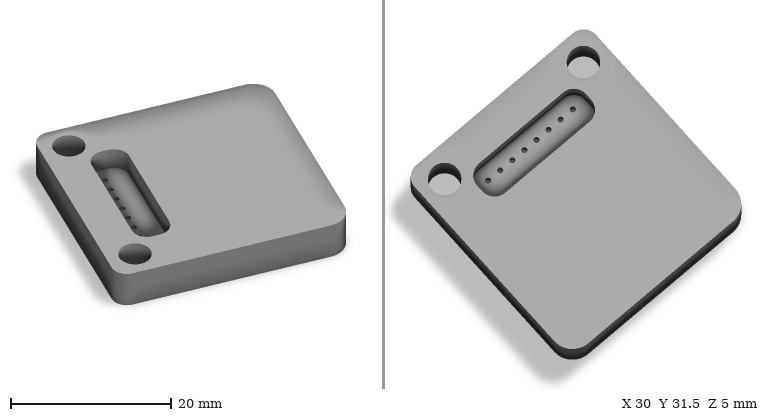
import cadquery as cq

width = 30.0
length = 31.5
thickness = 5.0
front_corner_radius = 2.02
rear_corner_radius = 3.0

mount_hole_diameter = 4.2
mount_hole_spacing = 23.0
mount_hole_from_front = 3.7

pocket_width = 18.02
pocket_length = 5.0
pocket_corner_radius = 2.02
pocket_depth = 3.0
pocket_from_front = 7.5

pin_count = 8
pin_row_span = 14.02
pin_pitch = pin_row_span / (pin_count - 1)
pin_diameter = 0.75
pin_from_front = 6.8
pin_hole_depth = 1.0

front_y = -length / 2


def make_plate():
    plate = cq.Workplane("XY").box(width, length, thickness, centered=(True, True, False))
    plate = plate.edges("|Z and <Y").fillet(front_corner_radius)
    return plate.edges("|Z and >Y").fillet(rear_corner_radius)


def make_mount_holes():
    x = mount_hole_spacing / 2
    y = front_y + mount_hole_from_front
    return (
        cq.Workplane("XY")
        .pushPoints([(-x, y), (x, y)])
        .circle(mount_hole_diameter / 2)
        .extrude(thickness)
    )


def make_pocket():
    return (
        cq.Workplane("XY", origin=(0, front_y + pocket_from_front, thickness - pocket_depth))
        .rect(pocket_width, pocket_length)
        .extrude(pocket_depth)
        .edges("|Z")
        .fillet(pocket_corner_radius)
    )


def make_pin_holes():
    return (
        cq.Workplane("XY", origin=(0, front_y + pin_from_front, thickness - pocket_depth))
        .rarray(pin_pitch, 0.3, pin_count, 1)
        .circle(pin_diameter / 2)
        .extrude(-pin_hole_depth)
    )


result = make_plate().cut(make_mount_holes()).cut(make_pocket()).cut(make_pin_holes())